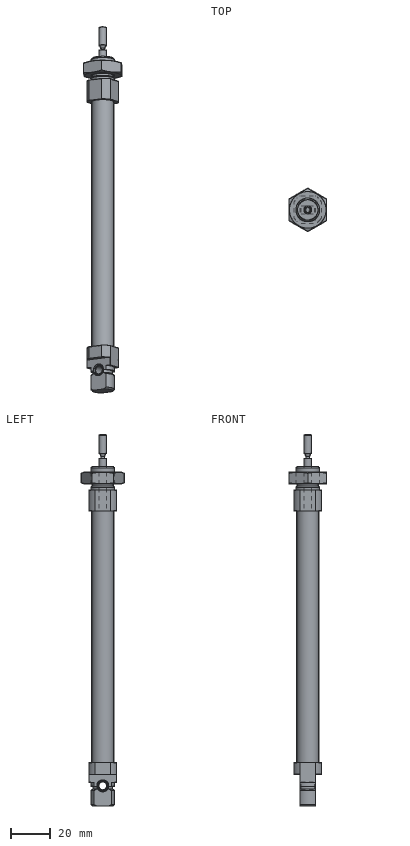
import cadquery as cq
import math

overall_length = 187.6
thread_length = 12.0
rod_extension = 16.0

rod_diameter = 4.0
thread_diameter = 3.97
rod_tip_diameter = 2.7
rod_tip_chamfer = 0.3
rod_neck_diameter = 2.0
neck_cone_diameter = 3.2
neck_cone_length = 1.6
neck_length = 1.0

cap_diameter = 16.0
cap_flats = 14.0
front_cap_length = 10.5
rear_cap_length = 6.0

end_tip_diameter = 10.3
end_chamfer_length = 0.85

collar_diameter = 12.0
collar_root_diameter = 10.65
collar_length = 12.0
undercut_height = 2.1

barrel_diameter = 11.3
rear_cap_top = 22.0

tongue_thickness = 8.0
shoulder_length = 4.0
tongue_diameter = 12.0
groove_diameter = 10.0
groove_bottom = 7.8
groove_top = 10.0
groove_flank = 0.8
pivot_diameter = 4.0
pivot_counterbore_diameter = 5.0
pivot_mouth_diameter = 6.0
pivot_height = 10.2

nut_flats = 19.0
nut_height = 6.0
nut_bottom = 162.7
nut_face_diameter = 18.5
nut_chamfer_angle = math.radians(20)

thread_bottom = overall_length - thread_length
collar_top = overall_length - rod_extension
front_cap_top = collar_top - collar_length
front_cap_bottom = front_cap_top - front_cap_length
rear_cap_bottom = rear_cap_top - rear_cap_length
shoulder_bottom = rear_cap_bottom - shoulder_length


def cylinder(diameter, bottom, top):
    return cq.Workplane("XY").workplane(offset=bottom).circle(diameter / 2).extrude(top - bottom)


def block(size_x, size_y, bottom, top):
    return cq.Workplane("XY").workplane(offset=bottom).rect(size_x, size_y).extrude(top - bottom)


def revolved(profile):
    """Turn a closed (radius, height) outline about the Z axis."""
    return cq.Workplane("XZ").polyline(profile).close().revolve(360, (0, 0, 0), (0, 1, 0))


def flatted_bar(bottom, top):
    """Round bar with a flat on each of its four sides."""
    return cylinder(cap_diameter, bottom, top).intersect(block(cap_flats, cap_flats, bottom, top))


def make_collar():
    """Front threaded collar: chamfered tip, undercut from just above the cap up to the nut."""
    outer = collar_diameter / 2
    root = collar_root_diameter / 2
    tip = end_tip_diameter / 2
    undercut_full = front_cap_top + undercut_height
    return revolved([
        (0, front_cap_top),
        (outer, front_cap_top),
        (outer, undercut_full - (outer - root)),
        (root, undercut_full),
        (root, nut_bottom),
        (outer, nut_bottom),
        (outer, collar_top - end_chamfer_length),
        (tip, collar_top),
        (0, collar_top),
    ])


def make_tongue():
    """Flat-sided tongue with a wide shoulder and a groove below it, before the pivot hole is cut."""
    outer = tongue_diameter / 2
    root = groove_diameter / 2
    tip = end_tip_diameter / 2
    turned = revolved([
        (0, 0),
        (tip, 0),
        (outer, end_chamfer_length),
        (outer, groove_bottom),
        (root, groove_bottom + groove_flank),
        (root, groove_top),
        (outer, groove_top),
        (outer, shoulder_bottom),
        (0, shoulder_bottom),
    ])
    tongue = turned.union(flatted_bar(shoulder_bottom, rear_cap_bottom))
    return tongue.intersect(block(tongue_thickness, cap_diameter, 0, rear_cap_bottom))


def make_pivot_cutter():
    """Through hole along X, with a shallow counterbore and a 45 degree chamfer at both tongue faces."""
    hole = pivot_diameter / 2
    mouth = pivot_mouth_diameter / 2
    face = tongue_thickness / 2
    bore = pivot_counterbore_diameter / 2
    floor = face - (mouth - bore)
    profile = [(-face, 0), (-face, mouth), (-floor, bore), (-floor, hole),
               (floor, hole), (floor, bore), (face, mouth), (face, 0)]
    cutter = cq.Workplane("XY").polyline(profile).close().revolve(360, (0, 0, 0), (1, 0, 0))
    return cutter.translate((0, 0, pivot_height))


def make_housing():
    """Barrel with both caps, front collar and tongue, bored for the rod through the front cap."""
    housing = cylinder(barrel_diameter, rear_cap_top, front_cap_bottom)
    housing = housing.union(flatted_bar(front_cap_bottom, front_cap_top))
    housing = housing.union(flatted_bar(rear_cap_bottom, rear_cap_top))
    housing = housing.union(make_collar()).union(make_tongue())
    rod_bore = cylinder(rod_diameter, front_cap_bottom, collar_top)
    return housing.cut(make_pivot_cutter()).cut(rod_bore)


def make_rod():
    """Piston rod with a chamfered threaded tip and a necked undercut; seated in the front cap."""
    radius = rod_diameter / 2
    thread = thread_diameter / 2
    tip = rod_tip_diameter / 2
    neck = rod_neck_diameter / 2
    cone = neck_cone_diameter / 2
    neck_top = thread_bottom + neck_length
    cone_top = neck_top + neck_cone_length
    return revolved([
        (0, front_cap_bottom),
        (radius, front_cap_bottom),
        (radius, thread_bottom),
        (neck, thread_bottom),
        (neck, neck_top),
        (cone, cone_top),
        (thread, cone_top),
        (thread, overall_length - rod_tip_chamfer),
        (tip, overall_length),
        (0, overall_length),
    ])


def make_nut():
    """Hexagon nut with flats facing +X and -X and both rims chamfered."""
    corner_diameter = nut_flats / math.cos(math.pi / 6)
    nut_top = nut_bottom + nut_height
    hexagon = (
        cq.Workplane("XY").workplane(offset=nut_bottom)
        .polygon(6, corner_diameter).extrude(nut_height)
        .rotate((0, 0, 0), (0, 0, 1), 30)
    )
    face = nut_face_diameter / 2
    corner = corner_diameter / 2
    drop = (corner - face) * math.tan(nut_chamfer_angle)
    rim = revolved([
        (0, nut_bottom),
        (face, nut_bottom),
        (corner, nut_bottom + drop),
        (corner, nut_top - drop),
        (face, nut_top),
        (0, nut_top),
    ])
    return hexagon.intersect(rim).cut(cylinder(collar_diameter, nut_bottom, nut_top))


housing = make_housing()
rod = make_rod()
nut = make_nut()

result = cq.Compound.makeCompound([housing.val(), rod.val(), nut.val()])